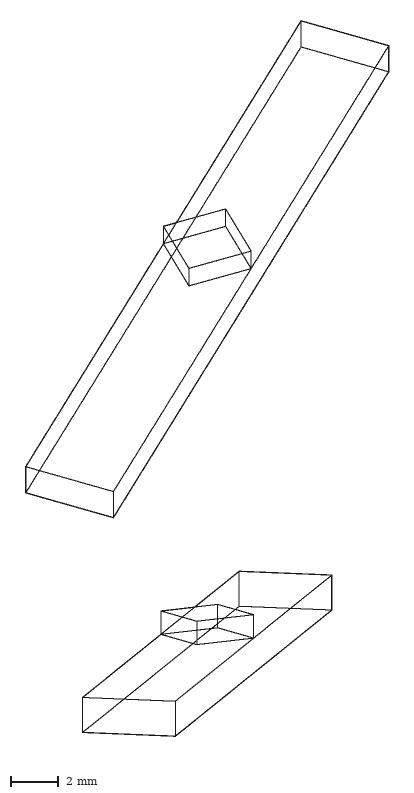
import cadquery as cq

bar_width = 4.0
bar_length = 30.0
bar_thickness = 1.5

key_diagonal = bar_width
key_height = 1.0


def make_bar():
    """Bar centred on X and Y, resting on Z = 0."""
    return cq.Workplane("XY").box(bar_width, bar_length, bar_thickness, centered=(True, True, False))


def make_key():
    """Diamond-shaped block standing on the middle of the bar."""
    half_diagonal = key_diagonal / 2
    corners = [
        (half_diagonal, 0),
        (0, half_diagonal),
        (-half_diagonal, 0),
        (0, -half_diagonal),
    ]
    return cq.Workplane("XY").workplane(offset=bar_thickness).polyline(corners).close().extrude(key_height)


result = make_bar().union(make_key())